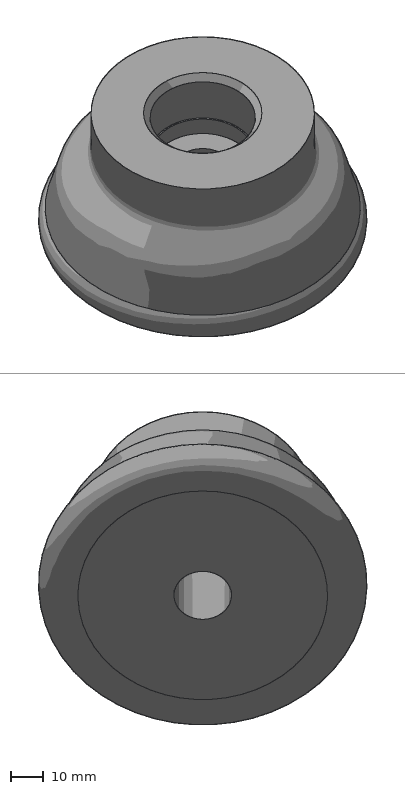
import cadquery as cq
import math

outer_radius = 50.0
height = 50.0

edge_round = 6.0
round_center_radius = outer_radius - edge_round
seat_radius = round_center_radius - edge_round

neck_radius = 34.0
neck_bottom_z = 36.0
neck_blend = 4.2
flare_angle = math.radians(51)
flare_bottom_z = 28.1
shoulder_round = 10.0
skirt_angle = math.radians(15)

mouth_chamfer = 2.0
bore_radius = 16.0
bore_step_z = 33.0
pocket_radius = 15.5
pocket_floor_z = 27.0
through_radius = 17.5 / 2


def arc_point(center, radius, angle):
    """Point (radius, z) on a circle, with the angle measured up from the outward direction."""
    return (center[0] + radius * math.cos(angle), center[1] + radius * math.sin(angle))


blend_center = (neck_radius + neck_blend, neck_bottom_z)
blend_middle = arc_point(blend_center, neck_blend, math.pi + flare_angle / 2)
blend_end = arc_point(blend_center, neck_blend, math.pi + flare_angle)

flare_end = (
    blend_end[0] + (blend_end[1] - flare_bottom_z) * math.tan(flare_angle),
    flare_bottom_z,
)
shoulder_center = arc_point(flare_end, -shoulder_round, flare_angle)
shoulder_middle = arc_point(shoulder_center, shoulder_round, (flare_angle + skirt_angle) / 2)
shoulder_end = arc_point(shoulder_center, shoulder_round, skirt_angle)

skirt_offset = (
    (shoulder_end[0] - round_center_radius) * math.cos(skirt_angle)
    + (shoulder_end[1] - edge_round) * math.sin(skirt_angle)
)
seam_angle = skirt_angle + math.acos(skirt_offset / edge_round)
seam = arc_point((round_center_radius, edge_round), edge_round, seam_angle)


def make_housing():
    """Bell-shaped housing with a stepped bore and a seat for the base ring."""
    profile = (
        cq.Workplane("XZ")
        .moveTo(through_radius, 0)
        .lineTo(seat_radius, 0)
        .lineTo(seat_radius, seam[1])
        .lineTo(*seam)
        .lineTo(*shoulder_end)
        .threePointArc(shoulder_middle, flare_end)
        .lineTo(*blend_end)
        .threePointArc(blend_middle, (neck_radius, neck_bottom_z))
        .lineTo(neck_radius, height)
        .lineTo(bore_radius + mouth_chamfer, height)
        .lineTo(bore_radius, height - mouth_chamfer)
        .lineTo(bore_radius, bore_step_z)
        .lineTo(pocket_radius, bore_step_z)
        .lineTo(pocket_radius, pocket_floor_z)
        .lineTo(through_radius, pocket_floor_z)
        .close()
    )
    return profile.revolve(360, (0, 0, 0), (0, 1, 0))


def make_base_ring():
    """Ring around the foot of the housing, with a flat base and a rounded outer edge."""
    profile = (
        cq.Workplane("XZ")
        .moveTo(seat_radius, 0)
        .lineTo(round_center_radius, 0)
        .threePointArc((outer_radius, edge_round), seam)
        .lineTo(seat_radius, seam[1])
        .close()
    )
    return profile.revolve(360, (0, 0, 0), (0, 1, 0))


housing = make_housing()
base_ring = make_base_ring()

result = cq.Compound.makeCompound([housing.val(), base_ring.val()])